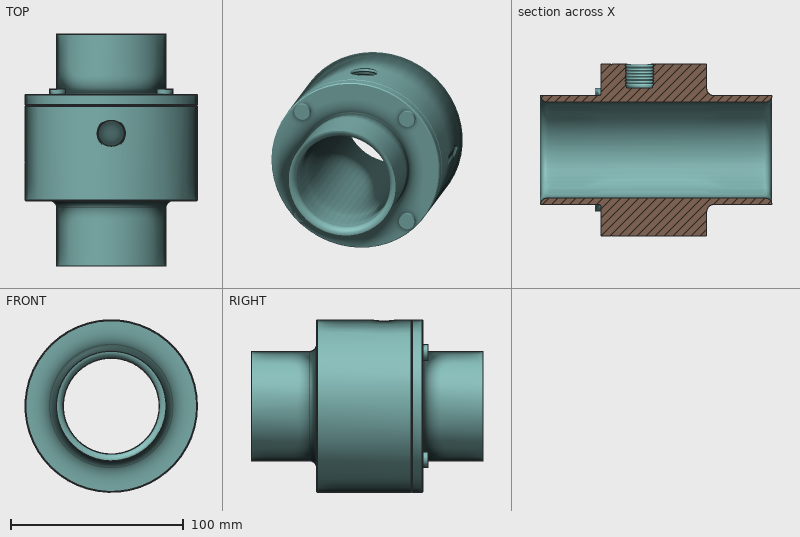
import cadquery as cq
import math

overall_length = 134.45
pipe_radius = 63.5 / 2
bore_radius = 55.5 / 2
mouth_radius = pipe_radius - bore_radius

body_radius = 50.0
body_front_y = -29.4
cover_joint_y = 25.85
cover_back_y = 32.3
edge_chamfer = 0.5
front_neck_fillet = 4.0
back_neck_fillet = 0.75

screw_count = 4
screw_circle_radius = 44.0
screw_head_diameter = 9.2
screw_head_height = 3.0
first_screw_angle = 45.0

port_y = 9.7
port_minor_radius = 15.0 / 2
port_major_radius = 16.4 / 2
port_depth = 14.0
thread_pitch = 1.814

arrow_tail_y = 9.1
arrow_head_y = -6.9
arrow_tip_y = -15.8
arrow_shaft_width = 4.7
arrow_head_width = 8.2
arrow_depth = 1.5

half_length = overall_length / 2


def arc_point(centre, radius, angle):
    """Point on a circle in the profile plane, at an angle in degrees."""
    turn = math.radians(angle)
    return (centre[0] + radius * math.cos(turn), centre[1] + radius * math.sin(turn))


def make_shell():
    """Pipe stubs, body and cover as one hollow revolved profile."""
    front_fillet_centre = (pipe_radius + front_neck_fillet, body_front_y - front_neck_fillet)
    back_fillet_centre = (pipe_radius + back_neck_fillet, cover_back_y + back_neck_fillet)
    front_mouth_centre = (pipe_radius, -half_length + mouth_radius)
    back_mouth_centre = (pipe_radius, half_length - mouth_radius)
    rim_radius = body_radius - edge_chamfer
    profile = (
        cq.Workplane("XY")
        .moveTo(pipe_radius, -half_length)
        .lineTo(pipe_radius, front_fillet_centre[1])
        .threePointArc(
            arc_point(front_fillet_centre, front_neck_fillet, 135),
            (front_fillet_centre[0], body_front_y),
        )
        .lineTo(rim_radius, body_front_y)
        .lineTo(body_radius, body_front_y + edge_chamfer)
        .lineTo(body_radius, cover_joint_y - edge_chamfer)
        .lineTo(rim_radius, cover_joint_y)
        .lineTo(body_radius, cover_joint_y + edge_chamfer)
        .lineTo(body_radius, cover_back_y - edge_chamfer)
        .lineTo(rim_radius, cover_back_y)
        .lineTo(back_fillet_centre[0], cover_back_y)
        .threePointArc(
            arc_point(back_fillet_centre, back_neck_fillet, 225),
            (pipe_radius, back_fillet_centre[1]),
        )
        .lineTo(pipe_radius, half_length)
        .threePointArc(
            arc_point(back_mouth_centre, mouth_radius, 135),
            (bore_radius, back_mouth_centre[1]),
        )
        .lineTo(bore_radius, front_mouth_centre[1])
        .threePointArc(
            arc_point(front_mouth_centre, mouth_radius, 225),
            (pipe_radius, -half_length),
        )
    )
    return profile.close().revolve(360, (0, 0, 0), (0, 1, 0))


def make_screw_heads():
    """Plain round heads standing on the back face of the cover."""
    return (
        cq.Workplane("XZ", origin=(0, cover_back_y, 0))
        .polarArray(screw_circle_radius, first_screw_angle, 360, screw_count)
        .circle(screw_head_diameter / 2)
        .extrude(-screw_head_height)
    )


def make_port():
    """Blind port with its thread cut as V grooves, one per pitch."""
    floor_z = body_radius - port_depth
    groove_count = math.floor(port_depth / thread_pitch)
    thread_start_z = body_radius - groove_count * thread_pitch
    profile = (
        cq.Workplane("XZ")
        .moveTo(0, floor_z)
        .lineTo(port_minor_radius, floor_z)
        .lineTo(port_minor_radius, thread_start_z)
    )
    for index in range(groove_count):
        groove_z = thread_start_z + index * thread_pitch
        profile = (
            profile.lineTo(port_major_radius, groove_z + thread_pitch / 2)
            .lineTo(port_minor_radius, groove_z + thread_pitch)
        )
    top_z = body_radius + thread_pitch
    profile = profile.lineTo(port_minor_radius, top_z).lineTo(0, top_z).close()
    return profile.revolve(360, (0, 0, 0), (0, 1, 0)).translate((0, port_y, 0))


def make_arrow():
    """Arrow-shaped prism from the flat engraving floor out past the body surface."""
    half_shaft = arrow_shaft_width / 2
    half_head = arrow_head_width / 2
    floor_x = arrow_depth - body_radius
    return (
        cq.Workplane("YZ", origin=(floor_x, 0, 0))
        .polyline([
            (arrow_tail_y, -half_shaft),
            (arrow_head_y, -half_shaft),
            (arrow_head_y, -half_head),
            (arrow_tip_y, 0),
            (arrow_head_y, half_head),
            (arrow_head_y, half_shaft),
            (arrow_tail_y, half_shaft),
        ])
        .close()
        .extrude(-2 * arrow_depth)
    )


result = make_shell().union(make_screw_heads()).cut(make_port()).cut(make_arrow())